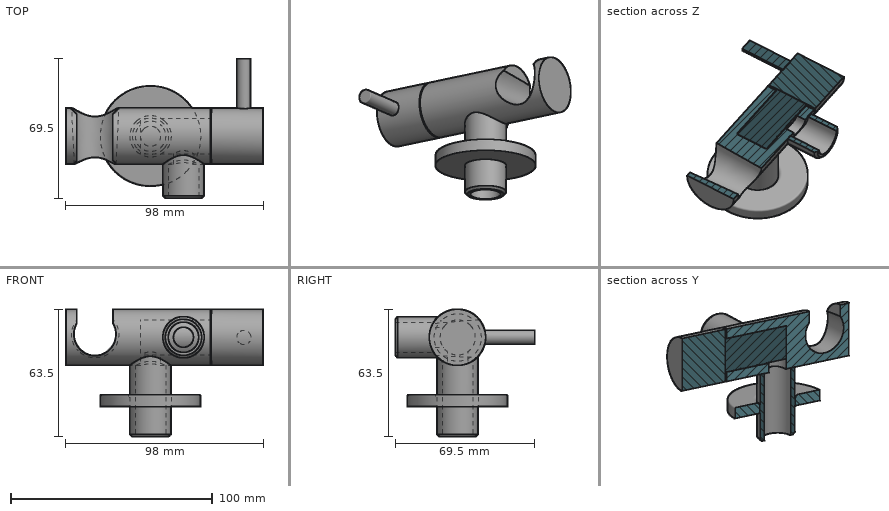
import cadquery as cq


BARREL_RADIUS = 14.0
BARREL_LENGTH = 71.7
OVERALL_LENGTH = 98.0
CAP_GAP = 0.6

SEAT_X = 14.4
SEAT_Z = 1.5
SEAT_SMALL_RADIUS = 10.4
SEAT_LARGE_RADIUS = 11.8
MOUTH_WIDTH = 17.9

PIPE_RADIUS = 10.3
PIPE_BORE_RADIUS = 7.5
PIPE_CHAMFER = 1.3
PORT_RADIUS = 5.0
INLET_X = 41.9
INLET_REACH = 49.5
OUTLET_X = 58.4
OUTLET_REACH = 31.0

STEM_RADIUS = 8.7
COLLAR_RADIUS = 11.8
STEM_START_X = INLET_X - PORT_RADIUS

FLANGE_RADIUS = 25.0
FLANGE_THICKNESS = 6.0
FLANGE_BOTTOM_Z = -34.5
FLANGE_RIM_FILLET = 0.9
FLANGE_HOLE_FILLET = 2.0

LEVER_X = 88.3
LEVER_RADIUS = 3.5
LEVER_REACH = 38.5
LEVER_TIP_FILLET = 0.3

CAP_START_X = BARREL_LENGTH + CAP_GAP

INLET_PLANE = cq.Plane(origin=(INLET_X, 0, 0), xDir=(1, 0, 0), normal=(0, 0, -1))
OUTLET_PLANE = cq.Plane(origin=(OUTLET_X, 0, 0), xDir=(1, 0, 0), normal=(0, -1, 0))
LEVER_PLANE = cq.Plane(origin=(LEVER_X, 0, 0), xDir=(1, 0, 0), normal=(0, 1, 0))


def x_cylinder(radius, start, end):
    """A cylinder on the barrel axis between two X positions."""
    return cq.Workplane("YZ", origin=(start, 0, 0)).circle(radius).extrude(end - start)


def make_barrel():
    """The barrel with its holder notch, cartridge chamber and two water ports."""
    barrel = x_cylinder(BARREL_RADIUS, 0, BARREL_LENGTH)
    depth = 2 * BARREL_RADIUS
    seat = cq.Workplane(
        cq.Solid.makeCone(
            SEAT_SMALL_RADIUS,
            SEAT_LARGE_RADIUS,
            depth,
            pnt=cq.Vector(SEAT_X, -BARREL_RADIUS, SEAT_Z),
            dir=cq.Vector(0, 1, 0),
        )
    )
    mouth = (
        cq.Workplane("XY", origin=(SEAT_X, 0, SEAT_Z))
        .rect(MOUTH_WIDTH, depth)
        .extrude(BARREL_RADIUS)
    )
    barrel = barrel.cut(seat).cut(mouth)
    barrel = barrel.cut(x_cylinder(STEM_RADIUS, STEM_START_X, BARREL_LENGTH))
    for plane in (INLET_PLANE, OUTLET_PLANE):
        barrel = barrel.cut(cq.Workplane(plane).circle(PORT_RADIUS).extrude(BARREL_RADIUS))
    return barrel


def make_cap():
    """The turning end cap, a plain cylinder beyond the gap."""
    return x_cylinder(BARREL_RADIUS, CAP_START_X, OVERALL_LENGTH)


def make_cartridge():
    """The stem in the barrel chamber and the wider collar between barrel and cap."""
    stem = x_cylinder(STEM_RADIUS, STEM_START_X, BARREL_LENGTH)
    return stem.union(x_cylinder(COLLAR_RADIUS, BARREL_LENGTH, CAP_START_X))


def make_pipe(plane, reach):
    """A bored pipe with a chamfered free end, its root cut to sit on the barrel surface."""
    free_end = cq.selectors.DirectionMinMaxSelector(plane.zDir)
    pipe = cq.Workplane(plane).circle(PIPE_RADIUS).extrude(reach)
    pipe = pipe.faces(free_end).edges().chamfer(PIPE_CHAMFER)
    pipe = pipe.cut(cq.Workplane(plane).circle(PIPE_BORE_RADIUS).extrude(reach))
    return pipe.cut(x_cylinder(BARREL_RADIUS, 0, BARREL_LENGTH))


def make_flange():
    """The round wall flange that slides on the inlet pipe, its upper edges rounded."""
    flange = (
        cq.Workplane("XY", origin=(INLET_X, 0, FLANGE_BOTTOM_Z))
        .circle(FLANGE_RADIUS)
        .circle(PIPE_RADIUS)
        .extrude(FLANGE_THICKNESS)
    )
    hole_edge = cq.selectors.RadiusNthSelector(0)
    rim_edge = cq.selectors.RadiusNthSelector(-1)
    flange = flange.faces(">Z").edges(hole_edge).fillet(FLANGE_HOLE_FILLET)
    return flange.faces(">Z").edges(rim_edge).fillet(FLANGE_RIM_FILLET)


def make_lever():
    """The lever pin with a rounded tip, its root cut to sit on the cap surface."""
    lever = cq.Workplane(LEVER_PLANE).circle(LEVER_RADIUS).extrude(LEVER_REACH)
    lever = lever.faces(">Y").edges().fillet(LEVER_TIP_FILLET)
    return lever.cut(make_cap())


barrel = make_barrel()
cap = make_cap()
cartridge = make_cartridge()
flange = make_flange()
lever = make_lever()
pipes = [
    make_pipe(plane, reach).val()
    for plane, reach in ((INLET_PLANE, INLET_REACH), (OUTLET_PLANE, OUTLET_REACH))
]

result = cq.Compound.makeCompound(
    [barrel.val(), cap.val(), cartridge.val(), flange.val(), lever.val(), *pipes]
)